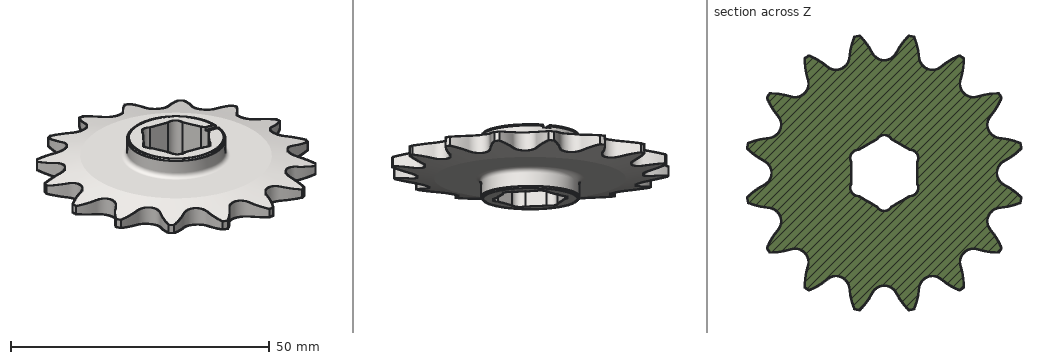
import cadquery as cq
import math

CHAIN_PITCH = 9.525
TOOTH_COUNT = 16
SEAT_RADIUS = 2.59

FLANK_START_ANGLE = 16.0
TIP_RADIUS = 26.985
TIP_HALF_WIDTH = 0.53

PLATE_THICKNESS = 4.7625
PLATE_FLAT_RADIUS = 18.55
TAPER_ANGLE = 10.0
RIM_ALLOWANCE = 1.0

HUB_RADIUS = 9.525
HUB_LENGTH = 12.7
HUB_CHAMFER = 0.35
HUB_FILLET = 1.0

HEX_SIDES = 6
HEX_ACROSS_FLATS = 12.7
RELIEF_RADIUS = 1.5875

SLOT_WIDTH = 1.5
SLOT_DEPTH = 0.635

TOOTH_ANGLE = 360.0 / TOOTH_COUNT
PITCH_RADIUS = CHAIN_PITCH / 2 / math.sin(math.radians(TOOTH_ANGLE / 2))
ROOT_RADIUS = PITCH_RADIUS - SEAT_RADIUS
HEX_CORNER_RADIUS = HEX_ACROSS_FLATS / math.sqrt(3)
RELIEF_CENTER_RADIUS = HEX_CORNER_RADIUS - RELIEF_RADIUS


def rotated(point, degrees):
    """Turn an (x, y) point about the origin."""
    c = math.cos(math.radians(degrees))
    s = math.sin(math.radians(degrees))
    return (c * point[0] - s * point[1], s * point[0] + c * point[1])


def mirrored(point):
    """Reflect an (x, y) point across the X axis."""
    return (point[0], -point[1])


def polar(radius, degrees):
    """Point at a radius and an angle measured from +X."""
    return rotated((radius, 0), degrees)


def flank_arc_middle(start, tip):
    """Midpoint of the convex flank arc that leaves the seat smoothly at start and ends at tip."""
    normal_x = (start[0] - PITCH_RADIUS) / SEAT_RADIUS
    normal_y = start[1] / SEAT_RADIUS
    chord_x = tip[0] - start[0]
    chord_y = tip[1] - start[1]
    radius = (chord_x ** 2 + chord_y ** 2) / (2 * (chord_x * normal_x + chord_y * normal_y))
    center_x = start[0] + radius * normal_x
    center_y = start[1] + radius * normal_y
    toward_middle = math.atan2(start[1] + chord_y / 2 - center_y, start[0] + chord_x / 2 - center_x)
    return (
        center_x + radius * math.cos(toward_middle),
        center_y + radius * math.sin(toward_middle),
    )


def tooth_outline():
    """Closed outline of the toothed blank; the first tooth gap is centred on +X."""
    half_tooth = TOOTH_ANGLE / 2
    tip_half_angle = math.degrees(math.asin(TIP_HALF_WIDTH / TIP_RADIUS))
    seat_turn = math.radians(90 - half_tooth - FLANK_START_ANGLE)

    seat_end = (
        PITCH_RADIUS - SEAT_RADIUS * math.cos(seat_turn),
        SEAT_RADIUS * math.sin(seat_turn),
    )
    tip_corner = polar(TIP_RADIUS, half_tooth - tip_half_angle)
    flank_middle = flank_arc_middle(seat_end, tip_corner)

    outline = cq.Workplane("XY").moveTo(*mirrored(tip_corner))
    for tooth in range(TOOTH_COUNT):
        turn = tooth * TOOTH_ANGLE
        next_turn = turn + TOOTH_ANGLE
        outline = (
            outline
            .threePointArc(rotated(mirrored(flank_middle), turn), rotated(mirrored(seat_end), turn))
            .threePointArc(polar(ROOT_RADIUS, turn), rotated(seat_end, turn))
            .threePointArc(rotated(flank_middle, turn), rotated(tip_corner, turn))
            .threePointArc(polar(TIP_RADIUS, turn + half_tooth), rotated(mirrored(tip_corner), next_turn))
        )
    return outline.close()


def tapered_disc():
    """Flat disc that thins toward the rim on both faces."""
    half = PLATE_THICKNESS / 2
    rim_radius = TIP_RADIUS + RIM_ALLOWANCE
    rim_half = half - (rim_radius - PLATE_FLAT_RADIUS) * math.tan(math.radians(TAPER_ANGLE))
    return (
        cq.Workplane("XZ")
        .moveTo(0, -half)
        .lineTo(PLATE_FLAT_RADIUS, -half)
        .lineTo(rim_radius, -rim_half)
        .lineTo(rim_radius, rim_half)
        .lineTo(PLATE_FLAT_RADIUS, half)
        .lineTo(0, half)
        .close()
        .revolve(360, (0, 0), (0, 1))
    )


def toothed_plate():
    teeth = tooth_outline().extrude(PLATE_THICKNESS / 2, both=True)
    return teeth.intersect(tapered_disc())


def hub():
    """Chamfered hub whose foot flares into both plate faces."""
    half_plate = PLATE_THICKNESS / 2
    half_hub = HUB_LENGTH / 2
    foot_top = half_plate + HUB_FILLET
    foot_radius = HUB_RADIUS + HUB_FILLET
    sag = HUB_FILLET * (1 - math.sqrt(0.5))
    upper = (
        cq.Workplane("XZ")
        .lineTo(foot_radius, 0)
        .lineTo(foot_radius, half_plate)
        .threePointArc((HUB_RADIUS + sag, half_plate + sag), (HUB_RADIUS, foot_top))
        .lineTo(HUB_RADIUS, half_hub - HUB_CHAMFER)
        .lineTo(HUB_RADIUS - HUB_CHAMFER, half_hub)
        .lineTo(0, half_hub)
        .close()
        .revolve(360, (0, 0), (0, 1))
    )
    return upper.union(upper.mirror("XY"))


def hex_bore():
    """Through bore: hexagon with corners on the Y axis and a round relief at each corner."""
    bore = (
        cq.Workplane("XY")
        .polygon(HEX_SIDES, 2 * HEX_CORNER_RADIUS)
        .extrude(HUB_LENGTH / 2, both=True)
    )
    reliefs = (
        cq.Workplane("XY")
        .polarArray(RELIEF_CENTER_RADIUS, 0, 360, HEX_SIDES)
        .circle(RELIEF_RADIUS)
        .extrude(HUB_LENGTH / 2, both=True)
    )
    return bore.union(reliefs).rotate((0, 0, 0), (0, 0, 1), 90)


def top_slot():
    """Slot from the hub axis out through the +Y side of the hub wall."""
    return (
        cq.Workplane("XY", origin=(0, HUB_RADIUS / 2, HUB_LENGTH / 2 - SLOT_DEPTH))
        .rect(SLOT_WIDTH, HUB_RADIUS)
        .extrude(SLOT_DEPTH)
    )


result = toothed_plate().union(hub()).cut(hex_bore()).cut(top_slot()).solids()